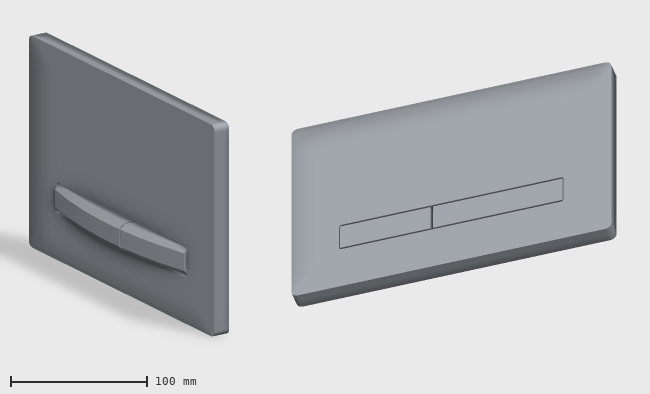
import cadquery as cq
import math

plate_width = 246.0
plate_height = 164.0
plate_thickness = 12.8
plate_corner_radius = 5.0

slot_width = 172.7
slot_height = 23.9
slot_corner_radius = 2.0
slot_center_z = -33.7

end_clearance = 0.7
side_clearance = 1.5
button_gap = 1.7
button_gap_center_x = 15.0
arch_radius = 369.0
arch_peak_depth = 24.8
button_chamfer = 3.7

bar_half_width = slot_width / 2 - end_clearance
button_height = slot_height - 2 * side_clearance
button_bottom_z = slot_center_z - button_height / 2


def make_plate():
    """Rounded rectangular plate with the button slot cut through it."""
    plate = (
        cq.Workplane("XY")
        .box(plate_width, plate_thickness, plate_height)
        .edges("|Y")
        .fillet(plate_corner_radius)
        .translate((0, -plate_thickness / 2, 0))
    )
    slot = (
        cq.Workplane("XY")
        .box(slot_width, 2 * plate_thickness, slot_height)
        .edges("|Y")
        .fillet(slot_corner_radius)
        .translate((0, -plate_thickness / 2, slot_center_z))
    )
    return plate.cut(slot)


def arch_point(x):
    """Point of the arched front at x; the crest of the arch is at x = 0."""
    drop = arch_radius - math.sqrt(arch_radius**2 - x**2)
    return (x, drop - arch_peak_depth)


def make_button(left_x, right_x):
    """Button between two X positions, chamfered along its two arched front edges."""
    return (
        cq.Workplane("XY", origin=(0, 0, button_bottom_z))
        .moveTo(left_x, 0)
        .lineTo(*arch_point(left_x))
        .threePointArc(arch_point((left_x + right_x) / 2), arch_point(right_x))
        .lineTo(right_x, 0)
        .close()
        .extrude(button_height)
        .edges("%CIRCLE")
        .chamfer(button_chamfer)
    )


plate = make_plate()

button_spans = [
    (-bar_half_width, button_gap_center_x - button_gap / 2),
    (button_gap_center_x + button_gap / 2, bar_half_width),
]
buttons = [make_button(left_x, right_x).val() for left_x, right_x in button_spans]

result = cq.Compound.makeCompound([plate.val(), *buttons])